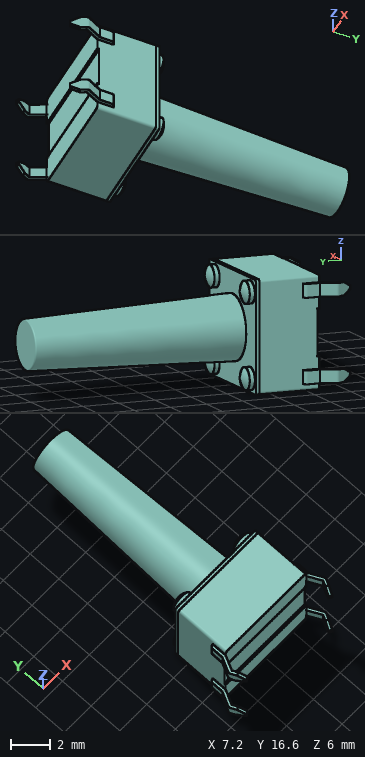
import cadquery as cq
import math

TOTAL_LENGTH = 16.65
TOTAL_WIDTH = 7.2

HOUSING_SIDE = 6.0
HOUSING_DEPTH = 3.51
HOUSING_CORNER_RADIUS = 0.17
COVER_THICKNESS = 0.2
CHANNEL_WIDTH = 2.48
CHANNEL_DEPTH = 0.1

PATTERN_PITCH = 4.5

RIVET_RADIUS = 0.6
RIVET_WALL_HEIGHT = 0.28
RIVET_HEIGHT = 0.5

PLUNGER_LENGTH = 11.5
PLUNGER_BASE_RADIUS = 1.75
PLUNGER_TIP_RADIUS = 1.35
PLUNGER_TIP_FILLET = 0.08

LEG_THICKNESS = 0.2
LEG_WIDTH = 0.72
LEG_OVERLAP = 0.9
LEG_TOP_RADIUS = 0.18
LEG_SLOPE = math.radians(26.5)
LEG_BEND_RADIUS = 0.17
LEG_TAPER_LENGTH = 0.5
LEG_TIP_WIDTH = 0.2

COVER_BACK = HOUSING_DEPTH - COVER_THICKNESS
COVER_FRONT = HOUSING_DEPTH
LEG_END = HOUSING_DEPTH + PLUNGER_LENGTH - TOTAL_LENGTH

HALF_PITCH = PATTERN_PITCH / 2
PATTERN = [(x, z) for x in (-HALF_PITCH, HALF_PITCH) for z in (-HALF_PITCH, HALF_PITCH)]


def rounded_block(back, front):
    """Square block with rounded corners between two Y levels."""
    return (
        cq.Workplane("XZ", origin=(0, front, 0))
        .rect(HOUSING_SIDE, HOUSING_SIDE)
        .extrude(front - back)
        .edges("|Y")
        .fillet(HOUSING_CORNER_RADIUS)
    )


def turned(half_profile):
    """Revolve a (Y, Z) half profile about the Y axis and stand it on the cover."""
    return half_profile.close().revolve(360, (0, 0, 0), (1, 0, 0)).translate((0, COVER_FRONT, 0))


def make_base():
    channel = cq.Workplane("XY").box(HOUSING_SIDE, 2 * CHANNEL_DEPTH, CHANNEL_WIDTH)
    return rounded_block(0, COVER_BACK).cut(channel)


def make_rivet():
    half_profile = (
        cq.Workplane("YZ")
        .lineTo(0, RIVET_RADIUS)
        .lineTo(RIVET_WALL_HEIGHT, RIVET_RADIUS)
        .radiusArc((RIVET_HEIGHT, 0), dome_radius())
    )
    return turned(half_profile)


def dome_radius():
    """Sphere radius of the cap that tops a rivet."""
    rise = RIVET_HEIGHT - RIVET_WALL_HEIGHT
    return (RIVET_RADIUS**2 + rise**2) / (2 * rise)


def make_plunger():
    half_profile = (
        cq.Workplane("YZ")
        .lineTo(0, PLUNGER_BASE_RADIUS)
        .lineTo(PLUNGER_LENGTH, PLUNGER_TIP_RADIUS)
        .lineTo(PLUNGER_LENGTH, 0)
    )
    return turned(half_profile).faces(">Y").edges().fillet(PLUNGER_TIP_FILLET)


def make_cover():
    """Cover plate with the plunger and the four rivets standing on it."""
    cover = rounded_block(COVER_BACK, COVER_FRONT).union(make_plunger())
    rivet = make_rivet()
    for x, z in PATTERN:
        cover = cover.union(rivet.translate((x, 0, z)))
    return cover


def make_leg():
    """Leg on the +X side: straight against the base, sloping out, then back in to a tapered tip."""
    sine = math.sin(LEG_SLOPE)
    cosine = math.cos(LEG_SLOPE)
    wall_x = HOUSING_SIDE / 2
    outer_x = wall_x + LEG_THICKNESS
    outer_start_y = LEG_THICKNESS * math.tan(LEG_SLOPE / 2)

    kink_x = TOTAL_WIDTH / 2 + LEG_BEND_RADIUS * (1 / cosine - 1)
    kink_y = outer_start_y - (kink_x - outer_x) / math.tan(LEG_SLOPE)
    inner_kink_x = kink_x - LEG_THICKNESS / cosine

    tip_outer_x = kink_x - (kink_y - LEG_END) * math.tan(LEG_SLOPE)
    tip_inner = (tip_outer_x - LEG_THICKNESS * cosine, LEG_END + LEG_THICKNESS * sine)

    leg = (
        cq.Workplane("XY")
        .polyline([
            (wall_x, LEG_OVERLAP),
            (wall_x, 0),
            (inner_kink_x, kink_y),
            tip_inner,
            (tip_outer_x, LEG_END),
            (kink_x, kink_y),
            (outer_x, outer_start_y),
            (outer_x, LEG_OVERLAP),
        ])
        .close()
        .extrude(LEG_WIDTH / 2, both=True)
    )
    leg = leg.edges(cq.NearestToPointSelector((kink_x, kink_y, 0))).fillet(LEG_BEND_RADIUS)
    leg = leg.edges(cq.NearestToPointSelector((outer_x, LEG_OVERLAP, 0))).fillet(LEG_TOP_RADIUS)

    outer_face = cq.Plane(
        origin=(tip_outer_x, LEG_END, 0),
        xDir=(sine, cosine, 0),
        normal=(cosine, -sine, 0),
    )
    for side in (-1, 1):
        edge = side * LEG_WIDTH / 2
        waste = (
            cq.Workplane(outer_face)
            .polyline([(0, side * LEG_TIP_WIDTH / 2), (0, edge), (LEG_TAPER_LENGTH, edge)])
            .close()
            .extrude(-LEG_THICKNESS)
        )
        leg = leg.cut(waste)
    return leg


def make_legs():
    right_leg = make_leg()
    left_leg = right_leg.mirror("YZ")
    legs = []
    for x, z in PATTERN:
        leg = right_leg if x > 0 else left_leg
        legs.append(leg.translate((0, 0, z)).val())
    return legs


base = make_base()
cover = make_cover()
legs = make_legs()

result = cq.Compound.makeCompound([base.val(), cover.val(), *legs])